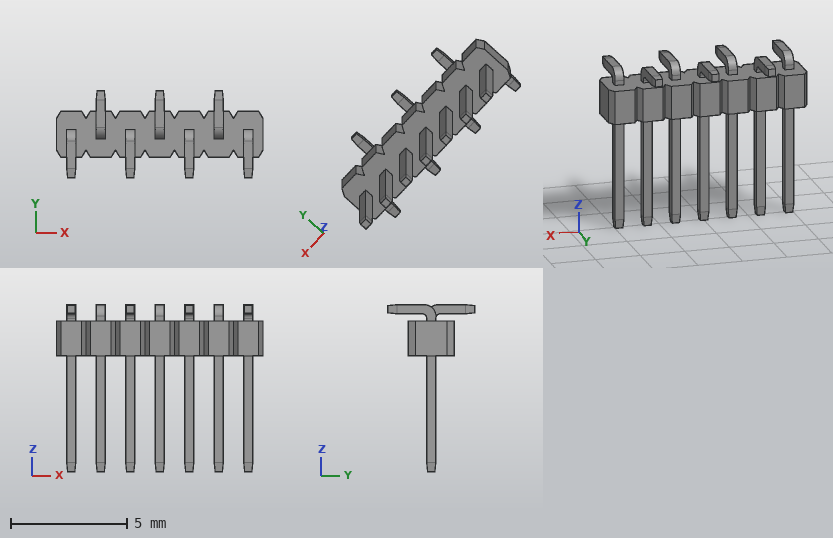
import cadquery as cq

pin_count = 7
body_length = 8.89
body_width = 2.0
body_height = 1.5
pitch = body_length / pin_count
corner_x = 0.19
corner_y = 0.32

pin_side = 0.4
tip_side = 0.32
taper_length = 0.4
pin_below_body = 5.0
pin_above_body = 0.7
arm_reach = 1.88
bend_outer_radius = 0.5
bend_inner_radius = 0.2

pin_half = pin_side / 2
pin_bottom = -pin_below_body
pin_top = body_height + pin_above_body
arm_bottom = pin_top - pin_side
arm_axis_z = pin_top - pin_half


def make_cell(x_center):
    """One chamfered cell of the body, standing on Z = 0."""
    half_x = pitch / 2
    half_y = body_width / 2
    flat_x = half_x - corner_x
    flat_y = half_y - corner_y
    outline = [
        (-half_x, -flat_y),
        (-flat_x, -half_y),
        (flat_x, -half_y),
        (half_x, -flat_y),
        (half_x, flat_y),
        (flat_x, half_y),
        (-flat_x, half_y),
        (-half_x, flat_y),
    ]
    cell = cq.Workplane("XY").polyline(outline).close().extrude(body_height)
    return cell.translate((x_center, 0, 0))


def make_taper(end_plane):
    """A tapered pin end growing from the origin of the given plane along its normal."""
    return (
        cq.Workplane(end_plane)
        .rect(pin_side, pin_side)
        .workplane(offset=taper_length)
        .rect(tip_side, tip_side)
        .loft(ruled=True)
    )


def make_pin():
    """A pin on the Z axis whose bent arm points toward -Y."""
    shank_end = pin_bottom + taper_length
    arm_end = -arm_reach + taper_length
    wire = (
        cq.Workplane("YZ")
        .moveTo(-pin_half, shank_end)
        .lineTo(pin_half, shank_end)
        .lineTo(pin_half, pin_top - bend_outer_radius)
        .radiusArc((pin_half - bend_outer_radius, pin_top), -bend_outer_radius)
        .lineTo(arm_end, pin_top)
        .lineTo(arm_end, arm_bottom)
        .lineTo(-pin_half - bend_inner_radius, arm_bottom)
        .radiusArc((-pin_half, arm_bottom - bend_inner_radius), bend_inner_radius)
        .close()
        .extrude(pin_half, both=True)
    )
    shank_tip = make_taper(cq.Plane((0, 0, shank_end), (1, 0, 0), (0, 0, -1)))
    arm_tip = make_taper(cq.Plane((0, arm_end, arm_axis_z), (1, 0, 0), (0, -1, 0)))
    return wire.union(shank_tip).union(arm_tip)


cell_centers = [(i - (pin_count - 1) / 2) * pitch for i in range(pin_count)]

body = make_cell(cell_centers[0])
for x_center in cell_centers[1:]:
    body = body.union(make_cell(x_center))

front_pin = make_pin()
back_pin = front_pin.rotate((0, 0, 0), (0, 0, 1), 180)
result = body.clean()
for i, x_center in enumerate(cell_centers):
    pin = front_pin if i % 2 == 0 else back_pin
    result = result.union(pin.translate((x_center, 0, 0)))